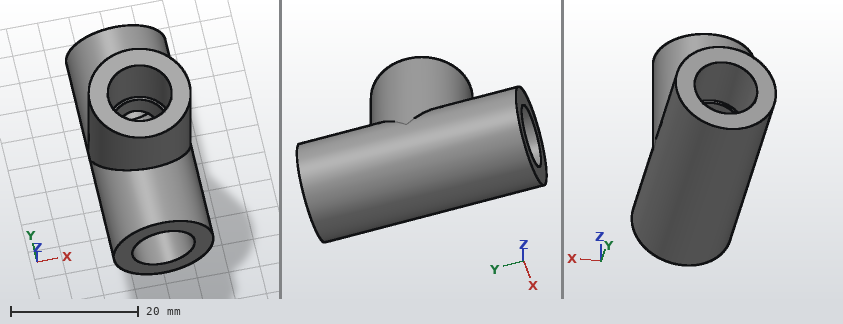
import cadquery as cq

run_length = 36.0
reach = run_length / 2
outer_diameter = 16.0
socket_diameter = 10.0
bore_diameter = 9.0
socket_depth = 10.0


def run_cylinder(diameter):
    """Full-length cylinder centred on the run axis."""
    return cq.Workplane("XZ").circle(diameter / 2).extrude(reach, both=True)


def branch_cylinder(diameter):
    """Cylinder from the crossing of the axes up to the branch end."""
    return cq.Workplane("XY").circle(diameter / 2).extrude(reach)


def end_socket(end_plane):
    """Pipe socket sunk into the open end lying on the given plane."""
    return cq.Workplane(end_plane).circle(socket_diameter / 2).extrude(-socket_depth)


body = run_cylinder(outer_diameter).union(branch_cylinder(outer_diameter))
body = body.cut(run_cylinder(bore_diameter)).cut(branch_cylinder(bore_diameter))

end_planes = [
    cq.Plane(origin=(0, -reach, 0), normal=(0, -1, 0)),
    cq.Plane(origin=(0, reach, 0), normal=(0, 1, 0)),
    cq.Plane(origin=(0, 0, reach), normal=(0, 0, 1)),
]
for end_plane in end_planes:
    body = body.cut(end_socket(end_plane))

result = body